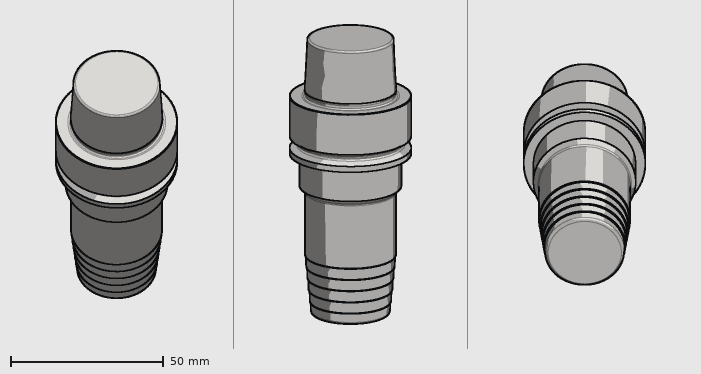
import cadquery as cq
import math


total_height = 94.9
flange_face_z = 75.0
flange_width = 20.0
body_base_z = 43.9
nose_top_z = 20.0

shank_top_radius = 14.2
shank_base_radius = 15.1
neck_height = 1.25
shank_top_round = 0.7
neck_radius = 14.9
shank_base_bevel = 0.75
neck_base_round = 0.5

flange_radius = 20.0
flange_edge_chamfer = 0.2
relief_outer_radius = 16.05
relief_depth = 0.15
groove_center_depth = 16.0
groove_width = 4.0
groove_floor_radius = 17.4
groove_wall_angle = 28.0
groove_round = 0.75

body_radius = 16.8
shoulder_height = 1.6
sleeve_radius = 15.0
sleeve_round = 1.0

band_count = 5
band_pitch = nose_top_z / band_count
ledge_inset = 0.25
ledge_height = 0.3
band_taper = 0.15
nose_edge_round = 1.0

neck_top_z = flange_face_z + neck_height
shank_base_z = neck_top_z + shank_base_bevel
flange_base_z = flange_face_z - flange_width
groove_center_z = flange_face_z - groove_center_depth
relief_floor_z = flange_face_z - relief_depth
groove_depth = flange_radius - groove_floor_radius
groove_wall_height = groove_depth * math.tan(math.radians(groove_wall_angle))
groove_top_z = groove_center_z + groove_width / 2
groove_bottom_z = groove_center_z - groove_width / 2
groove_floor_top_z = groove_top_z - groove_wall_height
groove_floor_bottom_z = groove_bottom_z + groove_wall_height
sleeve_top_z = body_base_z - shoulder_height
nose_tip_radius = sleeve_radius - band_count * (ledge_inset + band_taper)


def shank_outline():
    """Points of the shank and its neck, from the top centre down to the relief."""
    return [
        (0, total_height),
        (shank_top_radius, total_height),
        (shank_base_radius, shank_base_z),
        (neck_radius, neck_top_z),
        (neck_radius, relief_floor_z),
    ]


def flange_outline():
    """Points of the flange, from the relief edge down to its lower face."""
    return [
        (relief_outer_radius, flange_face_z),
        (flange_radius - flange_edge_chamfer, flange_face_z),
        (flange_radius, flange_face_z - flange_edge_chamfer),
        (flange_radius, groove_top_z),
        (groove_floor_radius, groove_floor_top_z),
        (groove_floor_radius, groove_floor_bottom_z),
        (flange_radius, groove_bottom_z),
        (flange_radius, flange_base_z),
    ]


def body_outline():
    """Points of the body and of the sloped shoulder down to the sleeve."""
    return [
        (body_radius, flange_base_z),
        (body_radius, body_base_z),
        (sleeve_radius, sleeve_top_z),
    ]


def nose_outline():
    """Points of the stepped nose, from the sleeve down to the bottom centre."""
    points = []
    radius = sleeve_radius
    for band in range(band_count):
        ledge_z = nose_top_z - band * band_pitch
        points.append((radius, ledge_z + ledge_height / 2))
        radius -= ledge_inset
        points.append((radius, ledge_z - ledge_height / 2))
        radius -= band_taper
    points.append((nose_tip_radius, 0))
    points.append((0, 0))
    return points


def round_circle(solid, radius, z, size):
    """Round the circular edge that has the given radius and lies at height z."""
    tolerance = 0.01
    circles = [
        edge
        for edge in solid.edges("%CIRCLE").vals()
        if abs(edge.radius() - radius) < tolerance and abs(edge.Center().z - z) < tolerance
    ]
    return solid.newObject(circles).fillet(size)


outline = shank_outline() + flange_outline() + body_outline() + nose_outline()
result = cq.Workplane("XZ").polyline(outline).close().revolve(360, (0, 0, 0), (0, 1, 0))

result = round_circle(result, shank_top_radius, total_height, shank_top_round)
result = round_circle(result, neck_radius, relief_floor_z, neck_base_round)
result = round_circle(result, groove_floor_radius, groove_floor_top_z, groove_round)
result = round_circle(result, groove_floor_radius, groove_floor_bottom_z, groove_round)
result = round_circle(result, sleeve_radius, sleeve_top_z, sleeve_round)
result = round_circle(result, nose_tip_radius, 0, nose_edge_round)